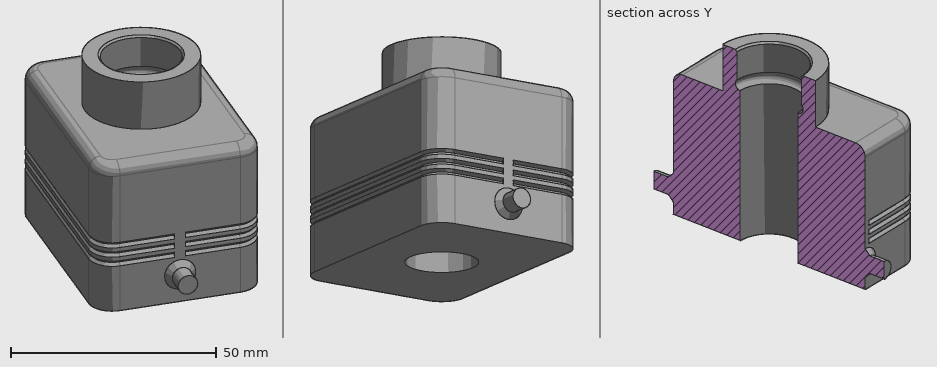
import cadquery as cq
import math

body_length = 60.05
body_width = 43.0
body_height = 40.0
corner_radius = 6.05
top_fillet = 3.0

collar_diameter = 29.0
overall_height = 53.0
entry_diameter = 21.0
bore_diameter = 20.0
passage_diameter = 18.0
entry_chamfer = (entry_diameter - bore_diameter) / 2
seat_depth = 11.0

groove_heights = (13.0, 15.55, 18.1)
groove_depth = 0.7
groove_gap = 2.8

pin_span = 72.0
pin_diameter = 5.05
pin_height = 7.5
pin_root_diameter = 8.0
pin_root_length = (pin_root_diameter - pin_diameter) / 2


def make_body():
    """Block with rounded vertical corners and a filleted roof edge."""
    block = cq.Workplane("XY").rect(body_length, body_width).extrude(body_height)
    return block.edges("|Z").fillet(corner_radius).faces(">Z").edges().fillet(top_fillet)


def make_groove(z_center):
    """Ring of material removed by one V-groove, open at the gaps on both ends."""
    ring = (
        cq.Workplane("XY", origin=(0, 0, z_center))
        .rect(2 * body_length, 2 * body_width)
        .extrude(groove_depth, both=True)
    )
    root = (
        cq.Sketch()
        .rect(body_length - 2 * groove_depth, body_width - 2 * groove_depth)
        .vertices()
        .fillet(corner_radius - groove_depth)
    )
    root_outline = cq.Workplane("XY", origin=(0, 0, z_center)).placeSketch(root)
    for direction in (1, -1):
        ring = ring.cut(root_outline.extrude(direction * groove_depth, taper=-45))
    gap = cq.Workplane("XY", origin=(0, 0, z_center)).box(2 * body_length, groove_gap, 4 * groove_depth)
    return ring.cut(gap)


def make_pin():
    """Pin along +X with a conical root, started inside the body so that it fuses."""
    root_x = body_length / 2
    profile = [
        (root_x - corner_radius, 0),
        (root_x - corner_radius, pin_root_diameter / 2),
        (root_x, pin_root_diameter / 2),
        (root_x + pin_root_length, pin_diameter / 2),
        (pin_span / 2, pin_diameter / 2),
        (pin_span / 2, 0),
    ]
    pin = cq.Workplane("XZ").polyline(profile).close().revolve(360, (0, 0, 0), (1, 0, 0))
    return pin.translate((0, 0, pin_height))


def make_bore():
    """Cable passage: entry chamfer, bore, rounded relief groove, then a straight passage."""
    bore_radius = bore_diameter / 2
    passage_radius = passage_diameter / 2
    relief_radius = entry_diameter / 2
    seat_z = overall_height - seat_depth

    relief_round = relief_radius - passage_radius
    relief_center_z = seat_z + relief_round
    relief_top_z = relief_center_z + math.sqrt(relief_round**2 - (bore_radius - passage_radius) ** 2)

    def relief_point(angle):
        """Point on the relief round, with the angle in degrees up from its widest place."""
        turn = math.radians(angle)
        return (
            passage_radius + relief_round * math.cos(turn),
            relief_center_z + relief_round * math.sin(turn),
        )

    upper_angle = math.degrees(math.acos((bore_radius - passage_radius) / relief_round))
    profile = (
        cq.Workplane("XZ")
        .moveTo(0, 0)
        .lineTo(passage_radius, 0)
        .lineTo(passage_radius, seat_z)
        .threePointArc(relief_point(-45), relief_point(0))
        .threePointArc(relief_point(upper_angle / 2), (bore_radius, relief_top_z))
        .lineTo(bore_radius, overall_height - entry_chamfer)
        .lineTo(relief_radius, overall_height)
        .lineTo(0, overall_height)
        .close()
    )
    return profile.revolve(360, (0, 0, 0), (0, 1, 0))


collar = cq.Workplane("XY").circle(collar_diameter / 2).extrude(overall_height)

result = make_body().union(collar)
for groove_height in groove_heights:
    result = result.cut(make_groove(groove_height))
pin = make_pin()
result = result.union(pin).union(pin.mirror("YZ"))
result = result.cut(make_bore())